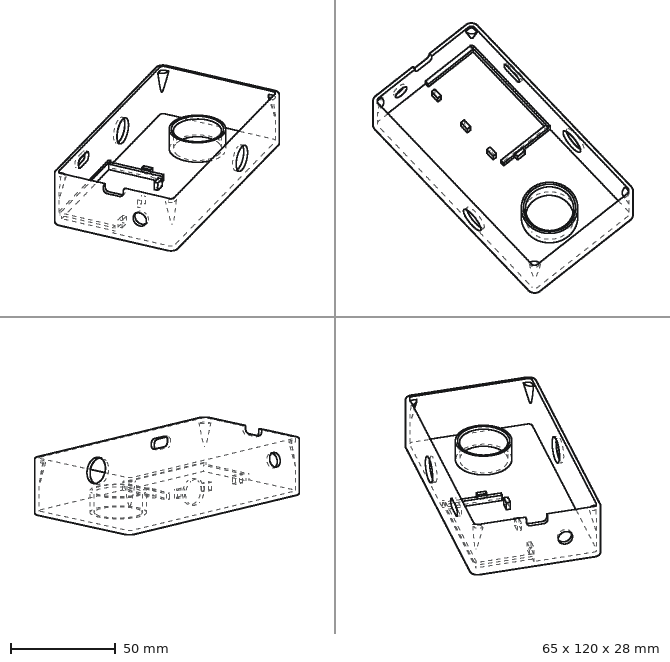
import cadquery as cq

WIDTH = 65.0
LENGTH = 120.0
HEIGHT = 28.0
WALL = 2.0
FLOOR = 2.0
CORNER_RADIUS = 4.0
EDGE_ROUND = 1.0
INNER_WIDTH = WIDTH - 2 * WALL
INNER_LENGTH = LENGTH - 2 * WALL
INNER_CORNER_RADIUS = CORNER_RADIUS - WALL
MID_HEIGHT = HEIGHT / 2

SUPPORT_RADIUS = 4.0
SUPPORT_HEIGHT = 15.0
SUPPORT_TOP = HEIGHT - 2.0

RING_Y = 34.0
RING_OUTER_DIAMETER = 27.0
RING_BORE_DIAMETER = 23.0
RING_TOP = 12.7
RING_CHAMFER = 1.0

RIB_THICKNESS = 2.0
RIB_HEIGHT = 3.0
STOP_HEIGHT = 4.0
CRADLE_END_X = -1.2
CRADLE_BACK_Y = -0.8
CRADLE_INNER_LENGTH = 52.9
CRADLE_SIDE_THICKNESS = 1.1
STOP_LENGTH = 4.7
POST_X = -0.5
POST_YS = (-8.9, -27.7, -49.2)
BACK_STOP_X = -10.5

SIDE_HOLE_DIAMETER = 12.7
SIDE_HOLE_Y = 15.0
FRONT_HOLE_DIAMETER = 7.1
FRONT_HOLE_X = 14.0
SLOT_LENGTH = 11.0
SLOT_HEIGHT = 5.2
SLOT_CORNER_RADIUS = 2.0
SLOT_Y = -28.8
SLOT_Z = 20.2
NOTCH_WIDTH = 10.5
NOTCH_DEPTH = 4.0
NOTCH_CORNER_RADIUS = 2.0


def floor_block(x_min, x_max, y_min, y_max, height):
    """Rectangular block rising from the tray floor, sunk into it to fuse cleanly."""
    return cq.Workplane("XY").box(
        x_max - x_min, y_max - y_min, height + FLOOR / 2, centered=False
    ).translate((x_min, y_min, FLOOR / 2))


def centred_floor_block(x, y, size_x, size_y, height):
    return floor_block(x - size_x / 2, x + size_x / 2, y - size_y / 2, y + size_y / 2, height)


def make_outer_body():
    body = cq.Workplane("XY").box(WIDTH, LENGTH, HEIGHT, centered=(True, True, False))
    body = body.edges("|Z").fillet(CORNER_RADIUS)
    return body.faces("<Z or >Z").edges().fillet(EDGE_ROUND)


def make_cavity():
    cavity = cq.Workplane("XY").box(INNER_WIDTH, INNER_LENGTH, HEIGHT, centered=(True, True, False))
    return cavity.edges("|Z").fillet(INNER_CORNER_RADIUS).translate((0, 0, FLOOR))


def make_corner_supports():
    cone = cq.Solid.makeCone(
        SUPPORT_RADIUS, 0, SUPPORT_HEIGHT, pnt=cq.Vector(0, 0, SUPPORT_TOP), dir=cq.Vector(0, 0, -1)
    )
    cones = cq.Workplane("XY").rect(INNER_WIDTH, INNER_LENGTH, forConstruction=True).vertices()
    return cones.eachpoint(lambda location: cone.moved(location), combine=False)


def make_ring():
    ring_base = FLOOR / 2
    bore_radius = RING_BORE_DIAMETER / 2
    ring = cq.Workplane("XY", origin=(0, RING_Y, ring_base)).circle(RING_OUTER_DIAMETER / 2)
    ring = ring.extrude(RING_TOP - ring_base)
    bore = cq.Workplane("XY", origin=(0, RING_Y, FLOOR)).circle(bore_radius).extrude(RING_TOP - FLOOR)
    countersink = cq.Solid.makeCone(
        bore_radius, bore_radius + RING_CHAMFER, RING_CHAMFER, pnt=cq.Vector(0, RING_Y, RING_TOP - RING_CHAMFER)
    )
    return ring.cut(bore).cut(cq.Workplane(countersink))


def make_cradle():
    wall_x = -WIDTH / 2 + WALL / 2
    wall_y = -LENGTH / 2 + WALL / 2
    pocket_back_y = CRADLE_BACK_Y - RIB_THICKNESS
    pocket_front_y = pocket_back_y - CRADLE_INNER_LENGTH
    side_x = -INNER_WIDTH / 2 + CRADLE_SIDE_THICKNESS
    back_rib = floor_block(wall_x, CRADLE_END_X, pocket_back_y, CRADLE_BACK_Y, RIB_HEIGHT)
    front_rib = floor_block(wall_x, CRADLE_END_X, wall_y, pocket_front_y, RIB_HEIGHT)
    side_rib = floor_block(wall_x, side_x, wall_y, CRADLE_BACK_Y, STOP_HEIGHT)
    return back_rib.union(front_rib).union(side_rib)


def make_stops():
    back_stop_y = CRADLE_BACK_Y + RIB_THICKNESS / 2
    stops = centred_floor_block(BACK_STOP_X, back_stop_y, STOP_LENGTH, RIB_THICKNESS, STOP_HEIGHT)
    for y in POST_YS:
        stops = stops.union(centred_floor_block(POST_X, y, RIB_THICKNESS, STOP_LENGTH, STOP_HEIGHT))
    return stops


def make_side_openings():
    """Round hole through both long walls, and a rounded slot through the -X wall only."""
    hole = cq.Workplane("YZ", origin=(-WIDTH / 2, SIDE_HOLE_Y, MID_HEIGHT))
    hole = hole.circle(SIDE_HOLE_DIAMETER / 2).extrude(WIDTH)
    slot = cq.Workplane("XY").box(2 * WALL, SLOT_LENGTH, SLOT_HEIGHT).edges("|X").fillet(SLOT_CORNER_RADIUS)
    return hole.union(slot.translate((-WIDTH / 2, SLOT_Y, SLOT_Z)))


def make_front_openings():
    """Round hole through the -Y wall, and a round-bottomed notch in its rim."""
    hole = cq.Workplane("XZ", origin=(FRONT_HOLE_X, -LENGTH / 2 + WALL, MID_HEIGHT))
    hole = hole.circle(FRONT_HOLE_DIAMETER / 2).extrude(WALL)
    notch = cq.Workplane("XY").box(NOTCH_WIDTH, 2 * WALL, 2 * NOTCH_DEPTH)
    notch = notch.edges("|Y").fillet(NOTCH_CORNER_RADIUS)
    return hole.union(notch.translate((0, -LENGTH / 2, HEIGHT)))


outer_body = make_outer_body()
fittings = make_corner_supports().union(make_cradle()).intersect(outer_body)
openings = make_side_openings().union(make_front_openings())
tray = outer_body.cut(make_cavity()).cut(openings).union(fittings)
result = tray.union(make_ring()).union(make_stops())